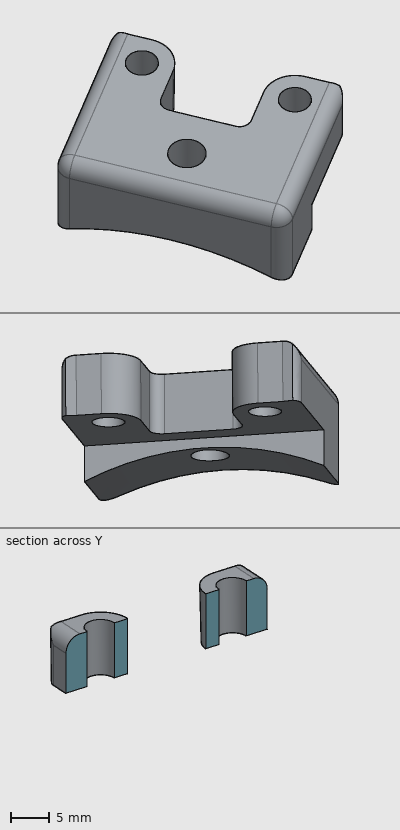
import cadquery as cq
import math

width = 31.98
height = 12.92
half_width = width / 2
edge_radius = 2.2

lug_bottom = 4.83
lug_thickness = height - lug_bottom
step_y = 10.45
back_y = 24.55
back_lean = 0.32
corner_tip_y = 24.82
corner_tip_inset = 0.83
corner_start_y = 23.03
lug_radius = 4.3

notch_half_width = 6.17
notch_y = 13.5
notch_corner_radius = 1.6
lug_hole_diameter = 4.3
lug_hole_x = notch_half_width + lug_radius
lug_hole_y = back_y - lug_radius
center_hole_diameter = 5.0
center_hole_y = 6.97
saddle_rise = 3.5
saddle_radius = (half_width**2 + saddle_rise**2) / (2 * saddle_rise)


def rounded_block():
    """Block with rounded front corners and top edges, open-ended past the lugs."""
    length = corner_tip_y + 2 * edge_radius
    block = cq.Workplane("XY").box(width, length, height, centered=(True, False, False))
    block = block.edges("|Z and <Y").fillet(edge_radius)
    rear_top_edge = cq.selectors.NearestToPointSelector((0, length, height))
    top_edges = block.faces(">Z").edges().vals()
    rear_edge = block.edges(rear_top_edge).val()
    return block.newObject([e for e in top_edges if not e.isSame(rear_edge)]).fillet(edge_radius)


def half_outline(workplane, lean):
    """Left half of the plan outline, with the lug end moved forward by lean."""
    arc_y = lug_hole_y - lean
    diagonal = lug_radius * math.sqrt(0.5)
    notch_diagonal = notch_corner_radius * (1 - math.sqrt(0.5))
    return (
        workplane.moveTo(-half_width, 0)
        .lineTo(-half_width, corner_start_y)
        .tangentArcPoint((-half_width + corner_tip_inset, corner_tip_y - lean), relative=False)
        .lineTo(-half_width + edge_radius, back_y - lean)
        .lineTo(-lug_hole_x, back_y - lean)
        .threePointArc(
            (-lug_hole_x + diagonal, arc_y + diagonal),
            (-notch_half_width, arc_y),
        )
        .lineTo(-notch_half_width, notch_y + notch_corner_radius)
        .threePointArc(
            (-notch_half_width + notch_diagonal, notch_y + notch_diagonal),
            (-notch_half_width + notch_corner_radius, notch_y),
        )
        .lineTo(0, notch_y)
        .lineTo(0, 0)
        .close()
    )


def upper_plate():
    """Notched plate whose two lug ends lean inwards towards the bottom."""
    bottom = half_outline(cq.Workplane("XY").workplane(offset=lug_bottom), back_lean)
    left = half_outline(bottom.workplane(offset=lug_thickness), 0).loft(ruled=True)
    return left.union(left.mirror("YZ"))


def front_foot():
    """Full-width foot below the front of the plate."""
    return cq.Workplane("XY").box(width, step_y, lug_bottom, centered=(True, False, False))


def through_holes():
    """Vertical holes in the two lugs and in the centre."""
    lug_holes = (
        cq.Workplane("XY")
        .pushPoints([(-lug_hole_x, lug_hole_y), (lug_hole_x, lug_hole_y)])
        .circle(lug_hole_diameter / 2)
        .extrude(height)
    )
    center_hole = (
        cq.Workplane("XY").center(0, center_hole_y).circle(center_hole_diameter / 2).extrude(height)
    )
    return lug_holes.union(center_hole)


def saddle():
    """Cylinder along Y that hollows the underside of the foot."""
    return (
        cq.Workplane("XZ")
        .center(0, saddle_rise - saddle_radius)
        .circle(saddle_radius)
        .extrude(-step_y)
    )


result = (
    rounded_block()
    .intersect(upper_plate().union(front_foot()))
    .cut(through_holes())
    .cut(saddle())
)